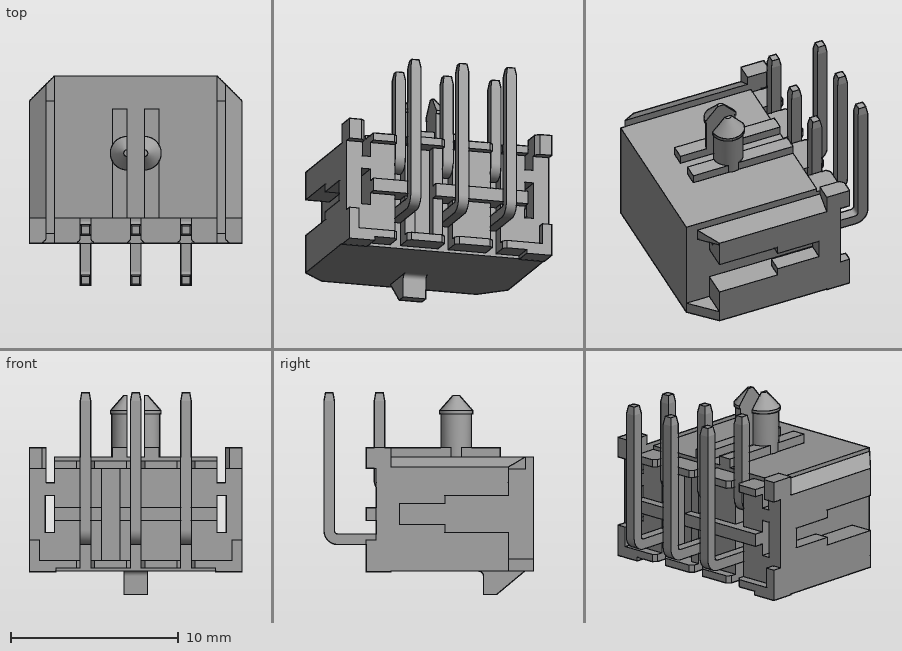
import cadquery as cq
import math


width = 12.7
depth = 10.0
height = 6.82
half_width = width / 2
wall_y = 0.6
flange_depth = 1.5
core_half_width = 4.85
corner_chamfer = half_width - core_half_width
side_wall_end_y = depth - corner_chamfer

top_channel_width = 0.5
top_channel_floor = 5.28
side_wall_inner_x = core_half_width + top_channel_width
shoulder_drop = 0.6
end_ledge_height = 0.73
mid_channel_width = 0.55
slot_mid_z = 3.41
wide_slot_height = 2.2
wide_slot_end_y = 4.7
narrow_slot_height = 1.23
narrow_slot_end_y = 2.0

top_flange_bottom = 6.14
top_flange_top = 6.59
bottom_flange_bottom = 0.18
bottom_flange_top = 0.64
corner_block_top = 7.37
corner_block_chamfer = 0.25
foot_drop = 0.05
foot_inner_x = 4.77
foot_post_width = 0.6
foot_post_top = 1.86

bar_bottom = 3.02
bar_height = 0.77
groove_left_x = -2.05
groove_width = 1.12
groove_depth = 0.62

peg_y = 5.38
peg_gap = 1.04
peg_shaft_radius = 0.92
peg_head_radius = 1.0
peg_tip_radius = 0.2
peg_head_bottom = 9.39
peg_head_edge = 0.19
peg_top = 10.49
rib_width = 0.86
rib_end_y = 8.01

latch_width = 1.42
latch_depth = 1.4
latch_front_y = 7.0
latch_flat = 0.79
latch_back_y = 9.47
latch_root_radius = 0.3

pin_size = 0.64
pin_pitch = 3.0
row_pitch = 3.0
pin_columns = (-pin_pitch, 0.0, pin_pitch)
lower_pin_bottom = 1.58
lower_pin_front_y = -2.52
pin_top = 10.65
pin_taper_length = 0.5
pin_taper_inset = 0.09
pin_inner_radius = 0.2
pin_embed = 0.5
slot_lead_in = 0.22


def box(x0, x1, y0, y1, z0, z1):
    """Box spanning the given limits."""
    return cq.Workplane("XY").box(x1 - x0, y1 - y0, z1 - z0, centered=False).translate((x0, y0, z0))


def prism_along_z(points, z0, z1):
    """Upright prism over a plan outline."""
    return cq.Workplane("XY").workplane(offset=z0).polyline(points).close().extrude(z1 - z0)


def both_sides(shape):
    """The shape joined with its mirror image in the YZ plane."""
    return shape.union(shape.mirror("YZ"))


def make_block():
    """Main block with chamfered rear corners, behind the pin-side wall."""
    plan = [
        (-half_width, wall_y),
        (half_width, wall_y),
        (half_width, side_wall_end_y),
        (core_half_width, depth),
        (-core_half_width, depth),
        (-half_width, side_wall_end_y),
    ]
    return prism_along_z(plan, 0, height)


def make_flange_trims():
    """Steps in the block where the flanges are thinner than the housing."""
    top = box(-core_half_width, core_half_width, wall_y, flange_depth, top_flange_top, height)
    bottom = box(-foot_inner_x, foot_inner_x, wall_y, flange_depth, 0, bottom_flange_bottom)
    return top.union(bottom)


def make_side_cuts():
    """Channels, slots and sloped shoulder of the +X side wall."""
    outer = half_width
    top_channel = box(core_half_width, side_wall_inner_x, 0, depth, top_channel_floor, height)
    shoulder = (
        cq.Workplane("XZ", origin=(0, flange_depth, 0))
        .polyline([(side_wall_inner_x, height), (outer, height), (outer, height - shoulder_drop)])
        .close()
        .extrude(flange_depth - depth)
    )
    end_cut = box(
        core_half_width, outer, side_wall_end_y, depth, end_ledge_height, height - end_ledge_height
    )

    def slot(x1, start_y, slot_height):
        z0 = slot_mid_z - slot_height / 2
        return box(core_half_width, x1, start_y, depth, z0, z0 + slot_height)

    mid_channel = slot(core_half_width + mid_channel_width, 0, wide_slot_height)
    wide_slot = slot(outer, wide_slot_end_y, wide_slot_height)
    narrow_slot = slot(outer, narrow_slot_end_y, narrow_slot_height)
    cuts = top_channel.union(shoulder).union(end_cut)
    return cuts.union(mid_channel).union(wide_slot).union(narrow_slot)


def make_corner_block():
    """Raised block at the top +X corner of the pin side."""
    plan = [
        (side_wall_inner_x + corner_block_chamfer, 0),
        (half_width, 0),
        (half_width, flange_depth),
        (side_wall_inner_x, flange_depth),
        (side_wall_inner_x, corner_block_chamfer),
    ]
    return prism_along_z(plan, top_flange_bottom, corner_block_top)


def make_foot():
    """Foot with a corner post at the bottom +X corner of the pin side."""
    foot = box(foot_inner_x, half_width, 0, flange_depth, -foot_drop, bottom_flange_top)
    post = box(half_width - foot_post_width, half_width, 0, wall_y, bottom_flange_top, foot_post_top)
    return foot.union(post)


def make_flanges():
    """Two plates standing out from the pin-side wall."""
    top = box(-core_half_width, core_half_width, 0, flange_depth, top_flange_bottom, top_flange_top)
    bottom = box(
        -foot_inner_x, foot_inner_x, 0, flange_depth, bottom_flange_bottom, bottom_flange_top
    )
    return top.union(bottom)


def make_pin_slot(x):
    """Upright slot for one pin column, with a flared mouth through the flanges."""
    half = pin_size / 2
    mouth = half + slot_lead_in
    plan = [
        (x - mouth, 0),
        (x + mouth, 0),
        (x + half, slot_lead_in),
        (x + half, flange_depth),
        (x - half, flange_depth),
        (x - half, slot_lead_in),
    ]
    return prism_along_z(plan, bottom_flange_bottom, top_flange_top)


def make_bar():
    """Cross bar, reaching back to the floor of the pin slots."""
    return box(
        -core_half_width, core_half_width, 0, flange_depth, bar_bottom, bar_bottom + bar_height
    )


def make_groove():
    """Upright groove through the wall and bar, between the two flanges."""
    return box(
        groove_left_x,
        groove_left_x + groove_width,
        0,
        wall_y + groove_depth,
        bottom_flange_top,
        top_flange_bottom,
    )


def make_half_peg():
    """+X half of the peg, with the rib it stands on."""
    inner_x = peg_gap / 2
    profile = [
        (0, height),
        (peg_shaft_radius, height),
        (peg_shaft_radius, peg_head_bottom),
        (peg_head_radius, peg_head_bottom),
        (peg_head_radius, peg_head_bottom + peg_head_edge),
        (peg_tip_radius, peg_top),
        (0, peg_top),
    ]
    peg = cq.Workplane("XZ").polyline(profile).close().revolve(360, (0, 0, 0), (0, 1, 0))
    outer_half = box(0, peg_head_radius, -peg_head_radius, peg_head_radius, height, peg_top)
    half_peg = peg.intersect(outer_half).translate((inner_x, peg_y, 0))
    rib = box(inner_x, inner_x + rib_width, flange_depth, rib_end_y, height, corner_block_top)
    return half_peg.union(rib)


def make_latch():
    """Ramp under the housing, with a rounded root at its steep face."""
    return (
        cq.Workplane("YZ", origin=(-latch_width / 2, 0, 0))
        .moveTo(latch_back_y, 0)
        .lineTo(latch_front_y + latch_flat, -latch_depth)
        .lineTo(latch_front_y, -latch_depth)
        .lineTo(latch_front_y, -latch_root_radius)
        .radiusArc((latch_front_y - latch_root_radius, 0), -latch_root_radius)
        .close()
        .extrude(latch_width)
    )


def make_pin(x, front_y, bottom_z):
    """Square bent pin: a horizontal leg from the housing and an upright leg with a tapered tip."""
    outer_radius = pin_inner_radius + pin_size
    center_y = front_y + outer_radius
    center_z = bottom_z + outer_radius
    inner_y = front_y + pin_size
    inner_z = bottom_z + pin_size
    end_y = flange_depth + pin_embed
    taper_z = pin_top - pin_taper_length
    diagonal = math.sqrt(0.5)
    bent_bar = (
        cq.Workplane("YZ", origin=(x - pin_size / 2, 0, 0))
        .moveTo(end_y, bottom_z)
        .lineTo(center_y, bottom_z)
        .threePointArc(
            (center_y - outer_radius * diagonal, center_z - outer_radius * diagonal),
            (front_y, center_z),
        )
        .lineTo(front_y, taper_z)
        .lineTo(inner_y, taper_z)
        .lineTo(inner_y, center_z)
        .threePointArc(
            (center_y - pin_inner_radius * diagonal, center_z - pin_inner_radius * diagonal),
            (center_y, inner_z),
        )
        .lineTo(end_y, inner_z)
        .close()
        .extrude(pin_size)
    )
    tip_size = pin_size - 2 * pin_taper_inset
    tip = (
        cq.Workplane("XY", origin=(x, front_y + pin_size / 2, taper_z))
        .rect(pin_size, pin_size)
        .workplane(offset=pin_taper_length)
        .rect(tip_size, tip_size)
        .loft()
    )
    return bent_bar.union(tip)


def make_housing():
    """Housing with its slots, flanges, feet, peg and latch."""
    housing = make_block().cut(make_flange_trims()).cut(both_sides(make_side_cuts()))
    housing = housing.union(make_flanges())
    housing = housing.union(both_sides(make_corner_block().union(make_foot())))
    for x in pin_columns:
        housing = housing.cut(make_pin_slot(x))
    housing = housing.union(make_bar()).cut(make_groove())
    return housing.union(both_sides(make_half_peg())).union(make_latch())


result = make_housing()
for column_x in pin_columns:
    for row in range(2):
        row_offset = row * row_pitch
        result = result.union(
            make_pin(column_x, lower_pin_front_y + row_offset, lower_pin_bottom + row_offset)
        )